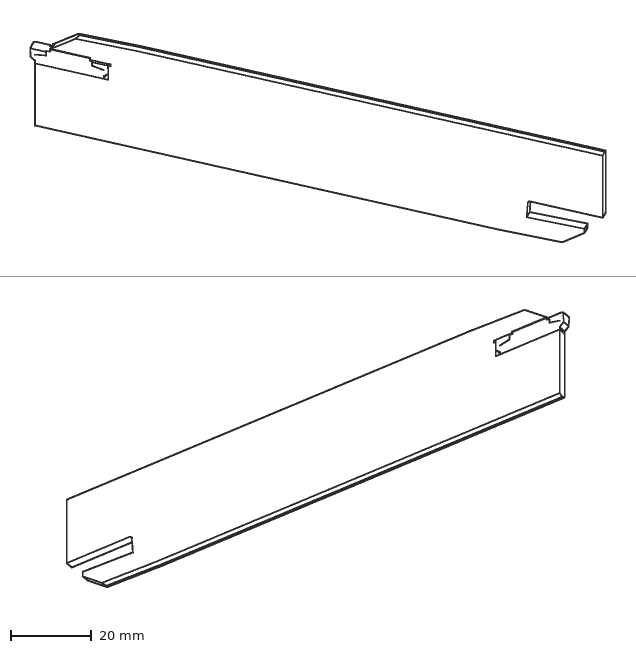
import cadquery as cq
import math


blade_start = 1.2
blade_end = 151.0
blade_height = 31.4
blade_thickness = 2.3
ridge_drop = 0.5
blade_length = blade_end - blade_start
mid_x = (blade_start + blade_end) / 2
mid_z = blade_height / 2

jaw_top_x = 13.1
relief_end_x = 28.7
relief_depth = 0.5
relief_angle = math.degrees(math.atan2(relief_depth, relief_end_x - jaw_top_x))

seat_z = 20.0
pocket_wall_x = 20.5
jaw_tip_x = 5.1
jaw_under_z = 25.4
jaw_end_x = 15.7
notch_top_z = 24.9
notch_bottom_z = 24.3
notch_x = 21.1

tail_roof_z = blade_height - seat_z
tail_roof_x = 131.7
tail_corner = 0.5
tail_floor_x = 130.9
tail_floor_z = 6.3
tail_tip_x = 146.2
tail_tip_z = 6.8
tail_nose_z = 5.5
tail_slope_x = blade_start + blade_end - jaw_top_x

insert_length = pocket_wall_x
insert_mid_x = insert_length / 2
insert_top_z = 24.6
nose_bottom_z = 21.7
body_inset = 1.2
body_shoulder_z = 20.7
rib_inset = 0.23
rib_start_ramp = 0.3
head_width = 3.0
head_length = 4.2
head_inner_z = 23.3
head_outer_z = 22.6
corner_length = 0.6
corner_width = 0.2


def side_plate(points, thickness):
    """Extrude an XZ outline symmetrically about the Y = 0 plane."""
    return cq.Workplane("XZ").polyline(points).close().extrude(thickness / 2, both=True)


def v_edged_bar(bottom_z, start_x, length):
    """Long bar with a shallow V ridge at the top edge."""
    half = blade_thickness / 2
    eave_z = blade_height - ridge_drop
    section = [(-half, bottom_z), (half, bottom_z), (half, eave_z), (0, blade_height), (-half, eave_z)]
    return cq.Workplane("YZ").workplane(offset=start_x).polyline(section).close().extrude(length)


def end_for_end(body):
    """Turn a body by half a turn about the blade's central Y axis."""
    return body.rotate((mid_x, 0, mid_z), (mid_x, 1, mid_z), 180)


def make_blade():
    """Blade with a front pocket, an empty tail pocket and V-shaped long edges."""
    outline = [
        (blade_start, 0),
        (tail_slope_x, 0),
        (tail_tip_x, tail_nose_z),
        (tail_tip_x, tail_tip_z),
        (tail_floor_x, tail_floor_z),
        (tail_roof_x - tail_corner, tail_roof_z - tail_corner),
        (tail_roof_x, tail_roof_z),
        (blade_end, tail_roof_z),
        (blade_end, blade_height),
        (jaw_top_x, blade_height),
        (jaw_tip_x, jaw_under_z),
        (jaw_end_x, jaw_under_z),
        (jaw_end_x, notch_top_z),
        (notch_x, notch_top_z),
        (notch_x, notch_bottom_z),
        (pocket_wall_x, notch_bottom_z),
        (pocket_wall_x, seat_z),
        (blade_start, seat_z),
    ]
    plate = side_plate(outline, blade_thickness)

    level_bar = v_edged_bar(-blade_height, blade_start, blade_length)
    deep_bar = v_edged_bar(-blade_height * 2, -blade_length, blade_length * 3)
    sloping_bar = deep_bar.rotate(
        (relief_end_x, 0, blade_height), (relief_end_x, 1, blade_height), -relief_angle
    )
    for bar in (level_bar, sloping_bar):
        plate = plate.intersect(bar).intersect(end_for_end(bar))
    return plate


def make_insert_head():
    """Front cutting head, flared from the body width to the cutting edge width."""
    outline = [
        (0, insert_top_z),
        (0, nose_bottom_z),
        (body_inset, body_shoulder_z),
        (body_inset, head_outer_z),
        (head_length, head_inner_z),
        (head_length, insert_top_z),
    ]
    half = head_width / 2
    half_body = blade_thickness / 2
    flare = [
        (-half, insert_top_z),
        (-half_body, head_outer_z),
        (-half_body, seat_z),
        (half_body, seat_z),
        (half_body, head_outer_z),
        (half, insert_top_z),
    ]
    plan = [
        (0, corner_width - half),
        (corner_length, -half),
        (head_length, -half),
        (head_length, half),
        (corner_length, half),
        (0, half - corner_width),
    ]
    flared_bar = cq.Workplane("YZ").polyline(flare).close().extrude(head_length)
    plan_block = (
        cq.Workplane("XY").workplane(offset=seat_z).polyline(plan).close().extrude(insert_top_z - seat_z)
    )
    return side_plate(outline, head_width).intersect(flared_bar).intersect(plan_block)


def make_clamped_rib():
    """Tapered rib that fills the space below the jaw."""
    rib_length = jaw_end_x - jaw_tip_x
    half = blade_thickness / 2
    section = [
        (-half, insert_top_z),
        (half, insert_top_z),
        (half - rib_inset, jaw_under_z),
        (rib_inset - half, jaw_under_z),
    ]
    side = [
        (jaw_tip_x, insert_top_z),
        (jaw_end_x, insert_top_z),
        (jaw_end_x, jaw_under_z),
        (jaw_tip_x + rib_start_ramp, jaw_under_z),
    ]
    bar = cq.Workplane("YZ").workplane(offset=jaw_tip_x).polyline(section).close().extrude(rib_length)
    return bar.intersect(side_plate(side, blade_thickness))


def make_insert():
    """Double-ended insert with matching cutting heads and a clamped rib."""
    body_end = insert_length - body_inset
    body_outline = [
        (body_inset, seat_z),
        (body_end, seat_z),
        (body_end, insert_top_z),
        (body_inset, insert_top_z),
    ]
    head = make_insert_head()
    rear_head = head.rotate((insert_mid_x, 0, 0), (insert_mid_x, 0, 1), 180)
    body = side_plate(body_outline, blade_thickness)
    return body.union(head).union(rear_head).union(make_clamped_rib())


blade = make_blade()
insert = make_insert()
result = cq.Compound.makeCompound([blade.solids().val(), insert.solids().val()])